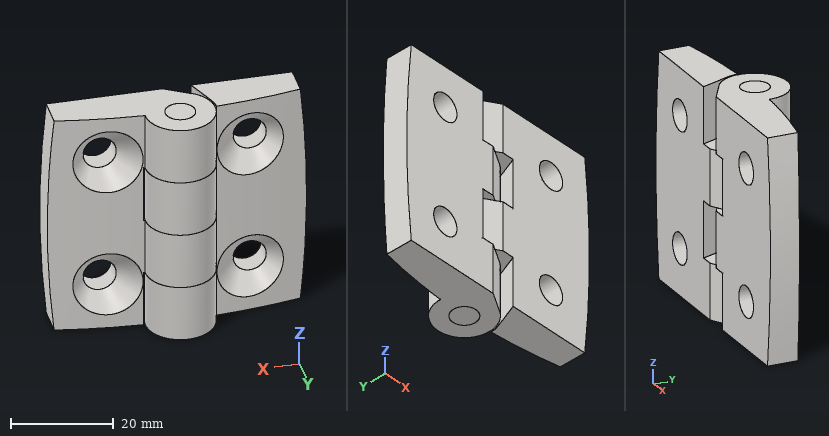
import cadquery as cq
import math

height = 48.0
half_width = 25.95
edge_bow = 1.3
crown_height = 9.0
dome_radius = 126.0
trim_margin = 1.0

barrel_radius = 7.0
axis_y = crown_height
pin_diameter = 6.0
knuckle_count = 4
knuckle_length = height / knuckle_count
heel_x = 1.4

pocket_radius = 7.3
pocket_foot_x = 4.26

hole_x = 15.0
hole_z = 14.0
hole_diameter = 6.6
countersink_radius = 6.93
countersink_half_angle = 45.0


def dome_y(x):
    """Height of the domed outer face at distance x from the pin axis."""
    return crown_height - dome_radius + math.sqrt(dome_radius**2 - x**2)


def dome_crossing(radius):
    """Point on the +X side where the dome meets a circle around the pin axis."""
    drop = radius**2 / (2 * dome_radius)
    return math.sqrt(radius**2 - drop**2), axis_y - drop


def flank_touch(foot_x, radius, side):
    """Point where a line from (foot_x, 0) touches a circle around the pin axis.

    side is +1 or -1 for the tangent on the +X or -X side of the axis.
    """
    foot_direction = math.atan2(-axis_y, foot_x)
    half_angle = math.acos(radius / math.hypot(foot_x, axis_y))
    angle = foot_direction + side * half_angle
    return radius * math.cos(angle), axis_y + radius * math.sin(angle)


def leaf_segment(foot_x, inner_radius, side, arc_middle, z_bottom):
    """One knuckle length of leaf: mounting face, flank, round stretch about the axis and dome."""
    dome_start = dome_crossing(inner_radius)
    blank_end_x = half_width + trim_margin
    dome_middle_x = (dome_start[0] + blank_end_x) / 2
    return (
        cq.Workplane("XY", origin=(0, 0, z_bottom))
        .moveTo(blank_end_x, 0)
        .lineTo(foot_x, 0)
        .lineTo(*flank_touch(foot_x, inner_radius, side))
        .threePointArc(arc_middle, dome_start)
        .threePointArc((dome_middle_x, dome_y(dome_middle_x)), (blank_end_x, dome_y(blank_end_x)))
        .close()
        .extrude(knuckle_length)
    )


def knuckle_segment(z_bottom):
    """Segment whose flank wraps around the pin as a barrel."""
    barrel_top = (0, axis_y + barrel_radius)
    return leaf_segment(heel_x, barrel_radius, -1, barrel_top, z_bottom)


def pocket_segment(z_bottom):
    """Segment cut back to clear a knuckle of the other leaf."""
    touch_x, touch_y = flank_touch(pocket_foot_x, pocket_radius, 1)
    end_x, end_y = dome_crossing(pocket_radius)
    middle_angle = math.atan2((touch_y + end_y) / 2 - axis_y, (touch_x + end_x) / 2)
    arc_middle = (pocket_radius * math.cos(middle_angle), axis_y + pocket_radius * math.sin(middle_angle))
    return leaf_segment(pocket_foot_x, pocket_radius, 1, arc_middle, z_bottom)


def bowed_outline():
    """Block that trims the leaf to its bowed outer edge."""
    corner_x = half_width - edge_bow
    inner_x = -barrel_radius - trim_margin
    block_depth = axis_y + barrel_radius + trim_margin
    return (
        cq.Workplane("XZ")
        .moveTo(inner_x, -height / 2)
        .lineTo(corner_x, -height / 2)
        .threePointArc((half_width, 0), (corner_x, height / 2))
        .lineTo(inner_x, height / 2)
        .close()
        .extrude(-block_depth)
    )


def pin_cylinder():
    """Cylinder through all knuckles, flush with both ends of the hinge."""
    base = cq.Workplane("XY", origin=(0, axis_y, -height / 2))
    return base.circle(pin_diameter / 2).extrude(height)


def screw_hole(z):
    """Cutter for a through hole with a conical countersink opening on the domed face."""
    slope = math.tan(math.radians(countersink_half_angle))
    hole_radius = hole_diameter / 2
    rim_y = crown_height
    rim_radius = countersink_radius + (rim_y - dome_y(hole_x)) * slope
    cone_bottom_y = rim_y - (rim_radius - hole_radius) / slope
    return (
        cq.Workplane("XY")
        .polyline([(0, 0), (hole_radius, 0), (hole_radius, cone_bottom_y), (rim_radius, rim_y), (0, rim_y)])
        .close()
        .revolve(360, (0, 0, 0), (0, 1, 0))
        .translate((hole_x, 0, z))
    )


def leaf():
    """Leaf on the +X side; its knuckles are the topmost and every second one below."""
    body = knuckle_segment(height / 2 - knuckle_length)
    for index in range(1, knuckle_count):
        z_bottom = height / 2 - (index + 1) * knuckle_length
        segment = knuckle_segment(z_bottom) if index % 2 == 0 else pocket_segment(z_bottom)
        body = body.union(segment)
    body = body.clean().cut(pin_cylinder()).intersect(bowed_outline())
    for z in (-hole_z, hole_z):
        body = body.cut(screw_hole(z))
    return body.solids()


right_leaf = leaf()
left_leaf = leaf().rotate((0, 0, 0), (0, 1, 0), 180)
pin = pin_cylinder()

result = cq.Compound.makeCompound([right_leaf.val(), left_leaf.val(), pin.val()])